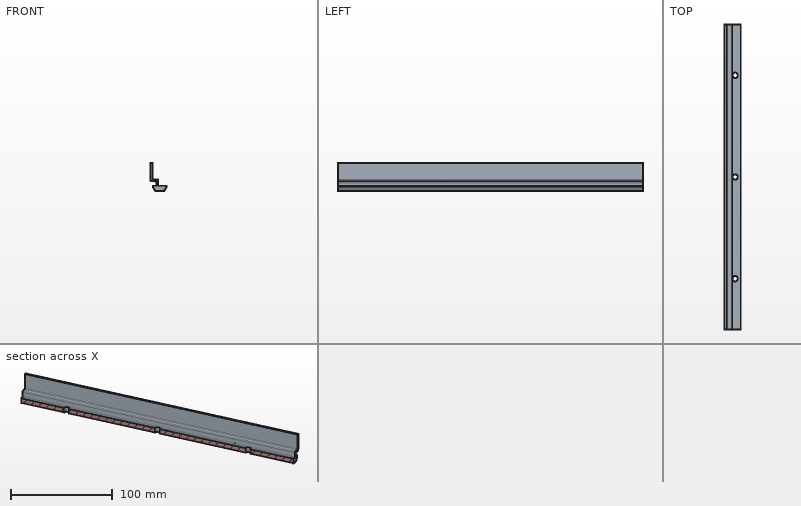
import cadquery as cq

length = 300.0
width = 16.5
height = 28.0

wall_thickness = 2.5
web_thickness = 2.0
stem_thickness = 1.8
web_top = 11.7
web_bottom = web_top - web_thickness
stem_right = 7.8
stem_left = stem_right - stem_thickness
outer_bend_radius = 2.0
shoulder_radius = 1.0
underside_radius = 1.2
inner_bend_radius = 0.5
root_radius = 0.3
edge_radius = 0.5

foot_left = 2.5
foot_top = 5.5
land_height = 1.0
foot_inset = 2.7
flank_top = foot_top - land_height

hole_diameter = 5.0
hole_x = 10.8
hole_pitch = length / 3


def extrude_along_y(points):
    """Extrude an XZ outline over the whole length, centred on Y = 0."""
    return cq.Workplane("XZ").polyline(points).close().extrude(length / 2, both=True)


def round_edge(body, x, z, radius):
    """Round the lengthwise edge passing through (x, z)."""
    return body.edges(cq.selectors.NearestToPointSelector((x, 0, z))).fillet(radius)


def make_strip():
    strip = extrude_along_y([
        (0, height),
        (wall_thickness, height),
        (wall_thickness, web_top),
        (stem_right, web_top),
        (stem_right, foot_top),
        (stem_left, foot_top),
        (stem_left, web_bottom),
        (0, web_bottom),
    ])
    strip = round_edge(strip, 0, web_bottom, outer_bend_radius)
    strip = round_edge(strip, stem_right, web_top, shoulder_radius)
    strip = round_edge(strip, stem_left, web_bottom, underside_radius)
    strip = round_edge(strip, wall_thickness, web_top, inner_bend_radius)
    return round_edge(strip, 0, height, edge_radius)


def make_foot():
    foot = extrude_along_y([
        (foot_left, foot_top),
        (width, foot_top),
        (width, flank_top),
        (width - foot_inset, 0),
        (foot_left + foot_inset, 0),
        (foot_left, flank_top),
    ])
    foot = round_edge(foot, width, foot_top, edge_radius)
    hole_centers = [(hole_x, i * hole_pitch) for i in (-1, 0, 1)]
    holes = (
        cq.Workplane("XY")
        .pushPoints(hole_centers)
        .circle(hole_diameter / 2)
        .extrude(foot_top)
    )
    return foot.cut(holes)


rail = round_edge(make_strip().union(make_foot()), stem_right, foot_top, root_radius)
result = rail.translate((-width / 2, 0, 0))